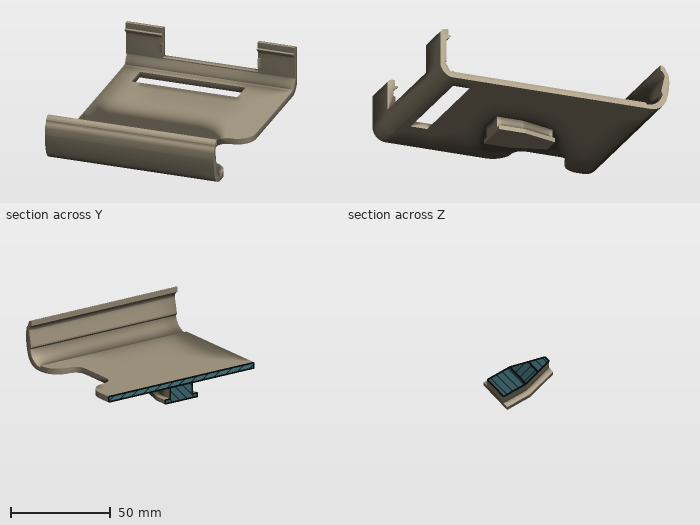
import cadquery as cq
import math

tray_width = 90.0
tray_length = 123.9
tray_height = 25.8
floor_thickness = 3.1
back = tray_length / 2
front = -tray_length / 2

back_corner_size = 6.0
back_corner_radius = 7.4
back_wall_thickness = 3.3
back_wall_inside = back - back_wall_thickness
back_wall_foot_z = 8.4
undercut_depth = 0.9
undercut_drop = 0.4
bevel_y = 56.4
bevel_z = 2.9
ridge_top_z = 3.6
ridge_back_y = 55.8
ridge_front_y = 54.9
ridge_floor_y = 54.4
tip_round_z = 24.0
tip_round_y = 58.9
tip_round_radius = 3.7
tip_inside_y = 57.8
catch_y = 56.1
catch_z = 22.7
catch_edge = 0.4
catch_root_z = 20.1

tab_width = 19.6
tab_gap = tray_width - 2 * tab_width
gap_floor_z = 9.0
nub_width = 1.9
nub_depth = 1.0
nub_bottom_z = 11.8
nub_height = 5.1

lip_corner_radius = 8.8
lip_floor_y = -52.0
lip_corner_z = 6.0
lip_side_z = 15.5
lip_side_radius = 29.0
lip_shoulder = (-61.7, 18.7)
lip_shoulder_lower_radius = 21.1
lip_shoulder_upper_radius = 4.3
lip_waist_bottom = (-60.5, 21.5)
lip_waist_top = (-60.0, 22.8)
lip_waist_radius = 2.5
lip_tip_radius = 3.1
lip_tip_y = -57.1
lip_top_z = 24.7

lip_tip_bottom_z = 21.9
lip_hollow = (-59.4, 18.8)
lip_hollow_radius = 3.7
lip_catch_y = -57.6
lip_catch_top_z = 10.9
lip_catch_bottom_z = 10.2
groove_end = (-58.4, 9.2)
groove_middle = (-55.4, 4.1)
groove_bottom_z = 2.1
step_top_y = -49.3
step_bottom_y = -50.0

slot_left_x = -35.0
slot_right_x = 21.3
slot_back_y = 51.0
slot_front_y = 38.8
slot_front_lower_y = 42.1
notch_center_y = -23.9
notch_half_width = 14.9
notch_outer_radius = 9.9
notch_inner_radius = 5.7

foot_length = 32.2
foot_nose_length = 18.1
foot_height = 8.0
flange_height = 2.2
flange_width = 20.1
flange_nose_width = 10.0
web_width = 13.9
web_nose_width = 3.5
wedge_height = 1.4
foot_center_x = 0.1
foot_back_y = 15.9
foot_nose_y = foot_back_y - foot_length
foot_corner_y = foot_nose_y + foot_nose_length


def tray_section():
    """Closed side outline of the tray in the Y-Z plane."""
    corner_rise = lip_corner_radius - lip_corner_z
    lip_corner_y = lip_floor_y - math.sqrt(lip_corner_radius**2 - corner_rise**2)
    return (
        cq.Workplane("YZ")
        .moveTo(lip_floor_y, 0)
        .lineTo(back - back_corner_size, 0)
        .radiusArc((back, back_corner_size), -back_corner_radius)
        .lineTo(back, tip_round_z)
        .radiusArc((tip_round_y, tray_height), -tip_round_radius)
        .lineTo(tip_inside_y, tray_height)
        .lineTo(tip_inside_y, catch_z)
        .lineTo(catch_y, catch_z)
        .lineTo(catch_y, catch_z - catch_edge)
        .lineTo(back_wall_inside, catch_root_z)
        .lineTo(back_wall_inside, back_wall_foot_z)
        .lineTo(back_wall_inside + undercut_depth, back_wall_foot_z - undercut_drop)
        .lineTo(bevel_y, bevel_z)
        .lineTo(ridge_back_y, ridge_top_z)
        .lineTo(ridge_front_y, ridge_top_z)
        .lineTo(ridge_floor_y, floor_thickness)
        .lineTo(step_top_y, floor_thickness)
        .lineTo(step_bottom_y, groove_bottom_z)
        .threePointArc(groove_middle, groove_end)
        .lineTo(lip_catch_y, lip_catch_bottom_z)
        .lineTo(lip_catch_y, lip_catch_top_z)
        .lineTo(*lip_hollow)
        .radiusArc((lip_tip_y, lip_tip_bottom_z), lip_hollow_radius)
        .lineTo(lip_tip_y, lip_top_z)
        .radiusArc(lip_waist_top, -lip_tip_radius)
        .radiusArc(lip_waist_bottom, lip_waist_radius)
        .radiusArc(lip_shoulder, -lip_shoulder_upper_radius)
        .radiusArc((front, lip_side_z), -lip_shoulder_lower_radius)
        .radiusArc((lip_corner_y, lip_corner_z), -lip_side_radius)
        .radiusArc((lip_floor_y, 0), -lip_corner_radius)
        .close()
    )


def gap_cutter():
    return (
        cq.Workplane("XY", origin=(0, back, gap_floor_z))
        .box(tab_gap, 2 * back_corner_size, tray_height, centered=(True, True, False))
    )


def slot_cutter():
    return (
        cq.Workplane("YZ", origin=(slot_left_x, 0, 0))
        .polyline([
            (slot_back_y, 0),
            (slot_back_y, floor_thickness),
            (slot_front_y, floor_thickness),
            (slot_front_lower_y, 0),
        ])
        .close()
        .extrude(slot_right_x - slot_left_x)
    )


def notch_cutter():
    edge = tray_width / 2
    bend = edge - notch_outer_radius
    bottom = bend - notch_inner_radius
    top_y = notch_center_y + notch_half_width
    low_y = notch_center_y - notch_half_width
    return (
        cq.Workplane("XY")
        .moveTo(edge, top_y + notch_outer_radius)
        .radiusArc((bend, top_y), notch_outer_radius)
        .radiusArc((bottom, top_y - notch_inner_radius), -notch_inner_radius)
        .lineTo(bottom, low_y + notch_inner_radius)
        .radiusArc((bend, low_y), -notch_inner_radius)
        .radiusArc((edge, low_y - notch_outer_radius), notch_outer_radius)
        .close()
        .extrude(floor_thickness)
    )


def nub(side):
    """Curved ramp at the inner edge of one tab; side is -1 or 1."""
    edge = side * tab_gap / 2
    radius = (nub_width**2 + nub_depth**2) / (2 * nub_depth)
    return (
        cq.Workplane("XY", origin=(0, 0, nub_bottom_z))
        .moveTo(edge, back_wall_inside)
        .lineTo(edge, back_wall_inside - nub_depth)
        .radiusArc((edge + side * nub_width, back_wall_inside), side * radius)
        .close()
        .extrude(nub_height)
    )


def make_tray():
    tray = tray_section().extrude(tray_width / 2, both=True)
    tray = tray.cut(gap_cutter()).cut(slot_cutter()).cut(notch_cutter())
    for side in (-1, 1):
        tray = tray.union(nub(side))
    return tray


def nose_plan(width, nose_width, bottom_z, height):
    """Straight block at the back that narrows to a blunt nose at the front."""
    return (
        cq.Workplane("XY", origin=(foot_center_x, 0, bottom_z))
        .polyline([
            (-width / 2, foot_back_y),
            (width / 2, foot_back_y),
            (width / 2, foot_corner_y),
            (nose_width / 2, foot_nose_y),
            (-nose_width / 2, foot_nose_y),
            (-width / 2, foot_corner_y),
        ])
        .close()
        .extrude(height)
    )


def make_web():
    web_bottom_z = flange_height - foot_height
    return nose_plan(web_width, web_nose_width, web_bottom_z, -web_bottom_z)


def wedge_space():
    """Triangular space under the tray, running out at the nose."""
    return (
        cq.Workplane("YZ", origin=(foot_center_x, 0, 0))
        .polyline([
            (foot_nose_y, 0),
            (foot_corner_y, 0),
            (foot_corner_y, -wedge_height),
        ])
        .close()
        .extrude(web_width / 2, both=True)
    )


def make_foot():
    flange = nose_plan(flange_width, flange_nose_width, -foot_height, flange_height)
    return flange.union(make_web()).cut(wedge_space())


def make_wedge():
    return make_web().intersect(wedge_space())


tray = make_tray()
foot = make_foot()
wedge = make_wedge()

result = cq.Compound.makeCompound([tray.val(), foot.val(), wedge.val()])